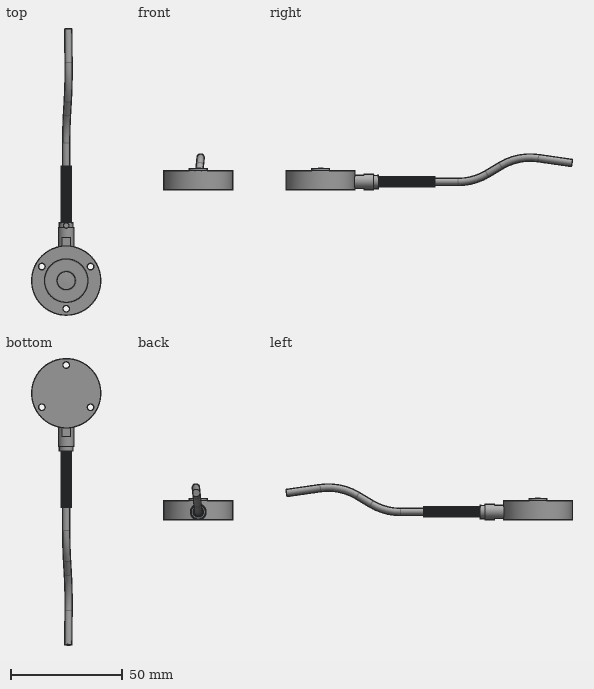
import cadquery as cq
import math

disc_diameter = 31.2
disc_height = 8.7
recess_diameter = 19.6
recess_depth = 0.6
recess_fillet = 0.3
mount_hole_diameter = 2.8
mount_circle_radius = 12.7
mount_hole_count = 3

button_diameter = 8.1
button_top_z = 9.8
button_dome_rise = 0.1

barrel_diameter = 7.1
outlet_axis_z = 3.6
barrel_end_y = 23.9
collar_diameter = 6.3
collar_end_y = 26.1
flat_end_y = 19.5
flat_height = 6.1
spot_diameter = 2.5
spot_depth = 0.3
spot_y = 24.8

sleeve_diameter = 4.8
sleeve_end_y = 51.5
rib_count = 59

cable_diameter = 3.4
bend_radius = 25.5
cable_corners = [
    cq.Vector(0, collar_end_y, outlet_axis_z),
    cq.Vector(0, 69.0, outlet_axis_z),
    cq.Vector(1.2, 89.0, 15.6),
    cq.Vector(0.9, 113.2, 12.1),
]


def outlet_cylinder(diameter, start_y, end_y):
    """Cylinder on the outlet axis between two Y positions."""
    plane = cq.Plane(origin=(0, start_y, outlet_axis_z), xDir=(1, 0, 0), normal=(0, 1, 0))
    return cq.Workplane(plane).circle(diameter / 2).extrude(end_y - start_y)


def make_outlet():
    """Barrel with two wrench flats near the disc, then a round part and a collar with a flat spot."""
    flatted_slab = (
        cq.Workplane(origin=(0, 0, outlet_axis_z))
        .box(barrel_diameter, flat_end_y, flat_height, centered=(True, False, True))
    )
    flatted = outlet_cylinder(barrel_diameter, 0, flat_end_y).intersect(flatted_slab)
    barrel = outlet_cylinder(barrel_diameter, flat_end_y, barrel_end_y)
    collar = outlet_cylinder(collar_diameter, barrel_end_y, collar_end_y)
    spot_z = outlet_axis_z + collar_diameter / 2 - spot_depth
    spot = cq.Workplane(origin=(0, spot_y, spot_z)).circle(spot_diameter / 2).extrude(barrel_diameter)
    return flatted.union(barrel).union(collar).cut(spot)


def make_recess():
    """Ring-shaped recess around the button, its floor rounded into both walls."""
    recess = (
        cq.Workplane(origin=(0, 0, disc_height))
        .circle(recess_diameter / 2)
        .circle(button_diameter / 2)
        .extrude(-recess_depth)
    )
    return recess.faces("<Z").edges().fillet(recess_fillet)


def make_button_top():
    """Part of the button above the disc."""
    edge_z = button_top_z - button_dome_rise
    return (
        cq.Workplane("XZ")
        .moveTo(0, disc_height)
        .lineTo(button_diameter / 2, disc_height)
        .lineTo(button_diameter / 2, edge_z)
        .lineTo(0, button_top_z)
        .close()
        .revolve(360, (0, 0, 0), (0, 1, 0))
    )


def make_housing():
    """Disc with mounting holes, cable outlet and load button, all one piece."""
    disc = cq.Workplane().circle(disc_diameter / 2).extrude(disc_height)
    holes = (
        cq.Workplane()
        .polarArray(mount_circle_radius, -90, 360, mount_hole_count)
        .circle(mount_hole_diameter / 2)
        .extrude(disc_height)
    )
    body = disc.cut(holes).union(make_outlet())
    return body.union(make_button_top()).cut(make_recess())


def make_sleeve():
    """Sleeve around the cable whose outside is a row of half-round ribs."""
    rib_pitch = (sleeve_end_y - collar_end_y) / rib_count
    crest_radius = sleeve_diameter / 2
    valley_radius = crest_radius - rib_pitch / 2
    bore_radius = cable_diameter / 2
    outline = cq.Workplane().moveTo(bore_radius, collar_end_y).lineTo(valley_radius, collar_end_y)
    for rib in range(rib_count):
        start_y = collar_end_y + rib * rib_pitch
        outline = outline.threePointArc(
            (crest_radius, start_y + rib_pitch / 2), (valley_radius, start_y + rib_pitch)
        )
    outline = outline.lineTo(bore_radius, sleeve_end_y).close()
    return outline.revolve(360, (0, 0, 0), (0, 1, 0)).translate((0, 0, outlet_axis_z))


def make_cable():
    """Round cable swept from the collar face along the rounded centreline."""
    edges = []
    run_start = cable_corners[0]
    for before, corner, after in zip(cable_corners, cable_corners[1:], cable_corners[2:]):
        back = (before - corner).normalized()
        ahead = (after - corner).normalized()
        half_angle = back.getAngle(ahead) / 2
        setback = bend_radius / math.tan(half_angle)
        bend_start = corner + back * setback
        bend_end = corner + ahead * setback
        to_centre = (back + ahead).normalized()
        bend_middle = corner + to_centre * (bend_radius / math.sin(half_angle) - bend_radius)
        edges.append(cq.Edge.makeLine(run_start, bend_start))
        edges.append(cq.Edge.makeThreePointArc(bend_start, bend_middle, bend_end))
        run_start = bend_end
    edges.append(cq.Edge.makeLine(run_start, cable_corners[-1]))
    path = cq.Workplane(cq.Wire.assembleEdges(edges))
    start_plane = cq.Plane(origin=cable_corners[0].toTuple(), xDir=(1, 0, 0), normal=(0, 1, 0))
    return cq.Workplane(start_plane).circle(cable_diameter / 2).sweep(path)


housing = make_housing()
sleeve = make_sleeve()
cable = make_cable()
result = cq.Compound.makeCompound([housing.val(), sleeve.val(), cable.val()])